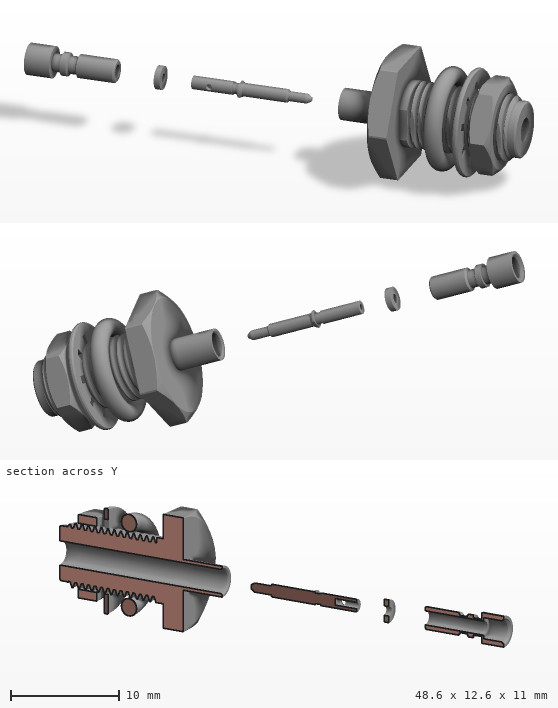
import cadquery as cq
import math


SLEEVE_HEAD_DIA = 3.0
SLEEVE_HEAD_LENGTH = 2.5
SLEEVE_BODY_DIA = 2.25
SLEEVE_NECK_DIA = 1.7
SLEEVE_COLLAR_START = 3.35
SLEEVE_COLLAR_LENGTH = 0.6
SLEEVE_BODY_START = 4.95
SLEEVE_END = 8.65
SLEEVE_WALL_RUN = 0.15
SLEEVE_TIP_CHAMFER = 0.15
SLEEVE_CABLE_BORE_DIA = 2.0
SLEEVE_MOUTH_CHAMFER = 0.25
SLEEVE_BORE_DIA = 1.3

WASHER_START = 12.6
WASHER_THICKNESS = 0.6
WASHER_DIA = 2.25
WASHER_HOLE_DIA = 0.87

PIN_START = 16.1
PIN_DIA = 1.25
PIN_GROOVE_START = 20.05
PIN_GROOVE_DIA = 1.05
PIN_BARB_START = 20.65
PIN_BARB_LAND = 0.15
PIN_BARB_LENGTH = 0.45
PIN_BARB_DIA = 1.7
PIN_SHOULDER = 25.35
PIN_SHOULDER_RUN = 0.15
PIN_TIP_DIA = 0.9
PIN_TIP_CONE_START = 27.25
PIN_END = 27.7
PIN_POINT_DIA = 0.4
PIN_CABLE_BORE_DIA = 0.6
PIN_SIDE_HOLE_DIA = 0.6
PIN_SIDE_HOLE_OFFSET = 1.75

TUBE_START = 30.8
TUBE_DIA = 3.0
TUBE_BORE_DIA = 2.3
TUBE_MOUTH_CHAMFER = 0.15
FLANGE_START = 35.05
FLANGE_END = 37.3
FLANGE_FLATS = 11.0
FLANGE_FACE_DIA = 10.9
FLANGE_CORNER_DIA = 12.6
HOUSING_END = 48.6
NOSE_CHAMFER = 0.15
NOSE_START = 47.75
NOSE_DIA = 5.35
THREAD_START = 38.0
THREAD_DIA = 6.3
THREAD_DEPTH = 0.55
LEAD_CLEARANCE = 0.5
THREAD_TURNS = 15
THREAD_HELIX_LENGTH = 10.6
THREAD_HELIX_START = 37.65
GROOVE_ROOT_WIDTH = 0.15
GROOVE_CREST_WIDTH = 0.6
BODY_FLAT = 2.75

ORING_CENTER = 41.0
ORING_SECTION_DIA = 1.7
ORING_OUTER_DIA = 9.8

LOCK_START = 43.25
LOCK_THICKNESS = 0.5
LOCK_DIA = 10.2
LOCK_CHAMFER_AXIAL = 0.15
LOCK_CHAMFER_RADIAL = 0.1
LOCK_NOTCHES = 9
LOCK_NOTCH_WIDTH = 0.75
LOCK_NOTCH_REACH = 4.0
LOCK_NOTCH_ANGLE = 85.0

NUT_START = 44.5
NUT_END = 46.6
NUT_FLATS = 8.05
NUT_FACE_DIA = 7.95

HEX_CHAMFER_ANGLE = 30.0
THREAD_RADIUS = THREAD_DIA / 2
ROOT_RADIUS = THREAD_RADIUS - THREAD_DEPTH
CUT_MARGIN = 0.05


def cylinder(diameter, start, end):
    """Solid cylinder on the X axis between two X positions."""
    return cq.Workplane("YZ", origin=(start, 0, 0)).circle(diameter / 2).extrude(end - start)


def turned(profile):
    """Solid turned about the X axis; each profile point is (x, diameter)."""
    first_x = profile[0][0]
    last_x = profile[-1][0]
    outline = [(first_x, 0)] + [(x, diameter / 2) for x, diameter in profile] + [(last_x, 0)]
    return cq.Workplane("XY").polyline(outline).close().revolve(360, (0, 0, 0), (1, 0, 0))


def hexagon(flats, start, end):
    """Hexagonal prism on the X axis with two corners on the Y axis."""
    corners = flats / math.cos(math.pi / 6)
    return cq.Workplane("YZ", origin=(start, 0, 0)).polygon(6, corners).extrude(end - start)


def cone_run(face_dia, corner_dia):
    """Axial length over which the corner cone grows from the face circle to the corners."""
    return (corner_dia - face_dia) / 2 * math.tan(math.radians(HEX_CHAMFER_ANGLE))


def make_sleeve():
    collar_end = SLEEVE_COLLAR_START + SLEEVE_COLLAR_LENGTH
    sleeve = turned([
        (0, SLEEVE_HEAD_DIA),
        (SLEEVE_HEAD_LENGTH, SLEEVE_HEAD_DIA),
        (SLEEVE_HEAD_LENGTH, SLEEVE_NECK_DIA),
        (SLEEVE_COLLAR_START, SLEEVE_NECK_DIA),
        (SLEEVE_COLLAR_START, SLEEVE_BODY_DIA),
        (collar_end, SLEEVE_BODY_DIA),
        (collar_end + SLEEVE_WALL_RUN, SLEEVE_NECK_DIA),
        (SLEEVE_BODY_START - SLEEVE_WALL_RUN, SLEEVE_NECK_DIA),
        (SLEEVE_BODY_START, SLEEVE_BODY_DIA),
        (SLEEVE_END - SLEEVE_TIP_CHAMFER, SLEEVE_BODY_DIA),
        (SLEEVE_END, SLEEVE_BODY_DIA - 2 * SLEEVE_TIP_CHAMFER),
    ])
    bore = turned([
        (0, SLEEVE_CABLE_BORE_DIA + 2 * SLEEVE_MOUTH_CHAMFER),
        (SLEEVE_MOUTH_CHAMFER, SLEEVE_CABLE_BORE_DIA),
        (SLEEVE_HEAD_LENGTH - SLEEVE_MOUTH_CHAMFER, SLEEVE_CABLE_BORE_DIA),
        (SLEEVE_HEAD_LENGTH - SLEEVE_MOUTH_CHAMFER, SLEEVE_BORE_DIA),
        (SLEEVE_END, SLEEVE_BORE_DIA),
    ])
    return sleeve.cut(bore)


def make_washer():
    end = WASHER_START + WASHER_THICKNESS
    return cylinder(WASHER_DIA, WASHER_START, end).cut(cylinder(WASHER_HOLE_DIA, WASHER_START, end))


def make_barb():
    """Retaining barb with its top and bottom cut flush with the pin."""
    barb = turned([
        (PIN_BARB_START, PIN_BARB_DIA),
        (PIN_BARB_START + PIN_BARB_LAND, PIN_BARB_DIA),
        (PIN_BARB_START + PIN_BARB_LENGTH, PIN_DIA),
    ])
    flush_box = cq.Workplane("XY").box(2 * PIN_END, PIN_BARB_DIA, PIN_DIA)
    return barb.intersect(flush_box)


def make_pin():
    pin = turned([
        (PIN_START, PIN_DIA),
        (PIN_GROOVE_START, PIN_DIA),
        (PIN_GROOVE_START, PIN_GROOVE_DIA),
        (PIN_BARB_START, PIN_GROOVE_DIA),
        (PIN_BARB_START, PIN_DIA),
        (PIN_SHOULDER, PIN_DIA),
        (PIN_SHOULDER + PIN_SHOULDER_RUN, PIN_TIP_DIA),
        (PIN_TIP_CONE_START, PIN_TIP_DIA),
        (PIN_END, PIN_POINT_DIA),
    ]).union(make_barb())
    side_hole_x = PIN_START + PIN_SIDE_HOLE_OFFSET
    cable_bore = cylinder(PIN_CABLE_BORE_DIA, PIN_START, side_hole_x + PIN_SIDE_HOLE_DIA)
    side_hole = (
        cq.Workplane("XZ", origin=(side_hole_x, 0, 0)).circle(PIN_SIDE_HOLE_DIA / 2).extrude(PIN_DIA)
    )
    return pin.cut(cable_bore).cut(side_hole)


def make_thread_groove():
    """Right-handed helical groove, cut from outside the crest down to the root."""
    pitch = THREAD_HELIX_LENGTH / THREAD_TURNS
    helix = cq.Wire.makeHelix(pitch, THREAD_HELIX_LENGTH, ROOT_RADIUS)
    flank_run = (GROOVE_CREST_WIDTH - GROOVE_ROOT_WIDTH) / 2 * CUT_MARGIN / THREAD_DEPTH
    half_root = GROOVE_ROOT_WIDTH / 2
    half_mouth = GROOVE_CREST_WIDTH / 2 + flank_run
    mouth_radius = THREAD_RADIUS + CUT_MARGIN
    groove = (
        cq.Workplane("XZ")
        .polyline([
            (ROOT_RADIUS, -half_root),
            (mouth_radius, -half_mouth),
            (mouth_radius, half_mouth),
            (ROOT_RADIUS, half_root),
        ])
        .close()
        .sweep(cq.Workplane(helix), isFrenet=True)
    )
    return groove.rotate((0, 0, 0), (0, 1, 0), 90).translate((THREAD_HELIX_START, 0, 0))


def make_threaded_body():
    threaded = cylinder(THREAD_DIA, THREAD_START, NOSE_START).cut(make_thread_groove())
    lead_wide_dia = THREAD_DIA + LEAD_CLEARANCE
    lead_run = (lead_wide_dia - NOSE_DIA) / 2
    lead_cone = turned([
        (THREAD_START, lead_wide_dia),
        (NOSE_START - lead_run, lead_wide_dia),
        (NOSE_START, NOSE_DIA),
    ])
    threaded = threaded.intersect(lead_cone)
    nose = turned([
        (NOSE_START, NOSE_DIA),
        (HOUSING_END - NOSE_CHAMFER, NOSE_DIA),
        (HOUSING_END, NOSE_DIA - 2 * NOSE_CHAMFER),
    ])
    plain_shank = cylinder(THREAD_DIA, FLANGE_END, THREAD_START)
    body = threaded.union(plain_shank).union(nose)
    beyond_flat = (
        cq.Workplane("XY")
        .box(HOUSING_END - FLANGE_END, THREAD_DIA, 2 * THREAD_DIA)
        .translate(((HOUSING_END + FLANGE_END) / 2, -BODY_FLAT - THREAD_RADIUS, 0))
    )
    return body.cut(beyond_flat)


def make_flange():
    """Hexagonal flange with its corners coned off on the cable side only."""
    run = cone_run(FLANGE_FACE_DIA, FLANGE_CORNER_DIA)
    cone = turned([
        (FLANGE_START, FLANGE_FACE_DIA),
        (FLANGE_START + run, FLANGE_CORNER_DIA),
        (FLANGE_END, FLANGE_CORNER_DIA),
    ])
    return hexagon(FLANGE_FLATS, FLANGE_START, FLANGE_END).intersect(cone)


def make_housing():
    housing = make_flange().union(make_threaded_body())
    housing = housing.union(cylinder(TUBE_DIA, TUBE_START, FLANGE_START))
    bore = turned([
        (TUBE_START, TUBE_BORE_DIA + 2 * TUBE_MOUTH_CHAMFER),
        (TUBE_START + TUBE_MOUTH_CHAMFER, TUBE_BORE_DIA),
        (HOUSING_END, TUBE_BORE_DIA),
    ])
    return housing.cut(bore)


def make_oring():
    ring_radius = (ORING_OUTER_DIA - ORING_SECTION_DIA) / 2
    section = cq.Workplane("XY").center(ORING_CENTER, ring_radius).circle(ORING_SECTION_DIA / 2)
    return section.revolve(360, (-ORING_CENTER, -ring_radius, 0), (0.5 - ORING_CENTER, -ring_radius, 0))


def make_lock_washer():
    end = LOCK_START + LOCK_THICKNESS
    washer = cylinder(LOCK_DIA, LOCK_START, end)
    washer = washer.edges().chamfer(LOCK_CHAMFER_AXIAL, LOCK_CHAMFER_RADIAL)
    washer = washer.cut(cylinder(THREAD_DIA, LOCK_START, end))
    notch = (
        cq.Workplane("XY")
        .box(LOCK_THICKNESS, LOCK_NOTCH_REACH, LOCK_NOTCH_WIDTH)
        .translate((LOCK_START + LOCK_THICKNESS / 2, LOCK_NOTCH_REACH / 2, 0))
    )
    for index in range(LOCK_NOTCHES):
        angle = LOCK_NOTCH_ANGLE + index * 360 / LOCK_NOTCHES
        washer = washer.cut(notch.rotate((0, 0, 0), (1, 0, 0), angle))
    return washer


def make_nut():
    """Hexagon nut with its corners coned off on both sides."""
    corners = NUT_FLATS / math.cos(math.pi / 6)
    run = cone_run(NUT_FACE_DIA, corners)
    cone = turned([
        (NUT_START, NUT_FACE_DIA),
        (NUT_START + run, corners),
        (NUT_END - run, corners),
        (NUT_END, NUT_FACE_DIA),
    ])
    nut = hexagon(NUT_FLATS, NUT_START, NUT_END).intersect(cone)
    return nut.cut(cylinder(THREAD_DIA, NUT_START, NUT_END))


sleeve = make_sleeve()
washer = make_washer()
pin = make_pin()
housing = make_housing()
oring = make_oring()
lock_washer = make_lock_washer()
nut = make_nut()

result = cq.Compound.makeCompound([
    sleeve.val(),
    washer.val(),
    pin.val(),
    housing.val(),
    oring.val(),
    lock_washer.val(),
    nut.val(),
])